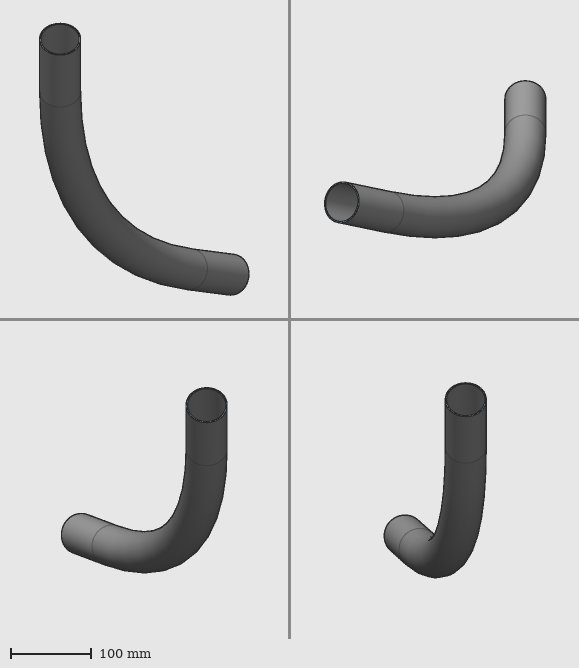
import cadquery as cq
import math

outer_diameter = 51.0
inner_diameter = 47.5
straight_length = 101.5
bend_angle = 45.0
overall_height = 730.0

bend_sine = math.sin(math.radians(bend_angle))
bend_cosine = math.cos(math.radians(bend_angle))
lower_end_height = straight_length * bend_cosine + outer_diameter / 2 * bend_sine
bend_radius = (overall_height - straight_length - lower_end_height) / bend_sine


def point_on_bend(angle):
    """Centreline (Y, Z) after turning by angle degrees from the upper straight end."""
    turn = math.radians(angle)
    y = bend_radius * (1 - math.cos(turn))
    z = -straight_length - bend_radius * math.sin(turn)
    return y, z


bend_start = point_on_bend(0)
bend_middle = point_on_bend(bend_angle / 2)
bend_end = point_on_bend(bend_angle)
lower_end = (
    bend_end[0] + straight_length * bend_sine,
    bend_end[1] - straight_length * bend_cosine,
)
centreline = (
    cq.Workplane("YZ")
    .lineTo(*bend_start)
    .threePointArc(bend_middle, bend_end)
    .lineTo(*lower_end)
)

result = (
    cq.Workplane("XY")
    .circle(outer_diameter / 2)
    .circle(inner_diameter / 2)
    .sweep(centreline)
)